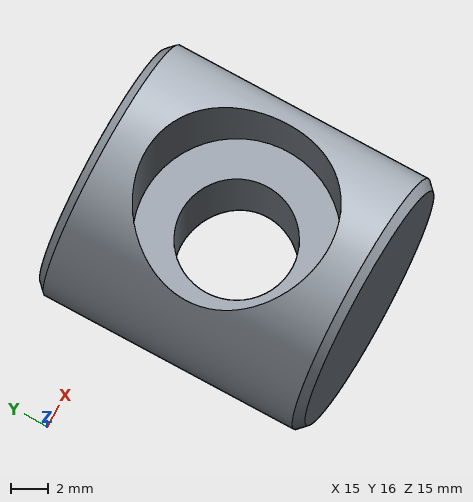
import cadquery as cq

length = 16
diameter = 15.0
edge_chamfer = 0.5

hole_diameter = 6.6
counterbore_diameter = 11.0
counterbore_depth = 8

radius = diameter / 2

barrel = (
    cq.Workplane("XZ", origin=(0, length / 2, 0))
    .circle(radius)
    .extrude(length)
    .faces("<Y or >Y")
    .chamfer(edge_chamfer)
)

result = (
    barrel.copyWorkplane(cq.Workplane("XY", origin=(0, 0, radius)))
    .cboreHole(hole_diameter, counterbore_diameter, counterbore_depth)
)